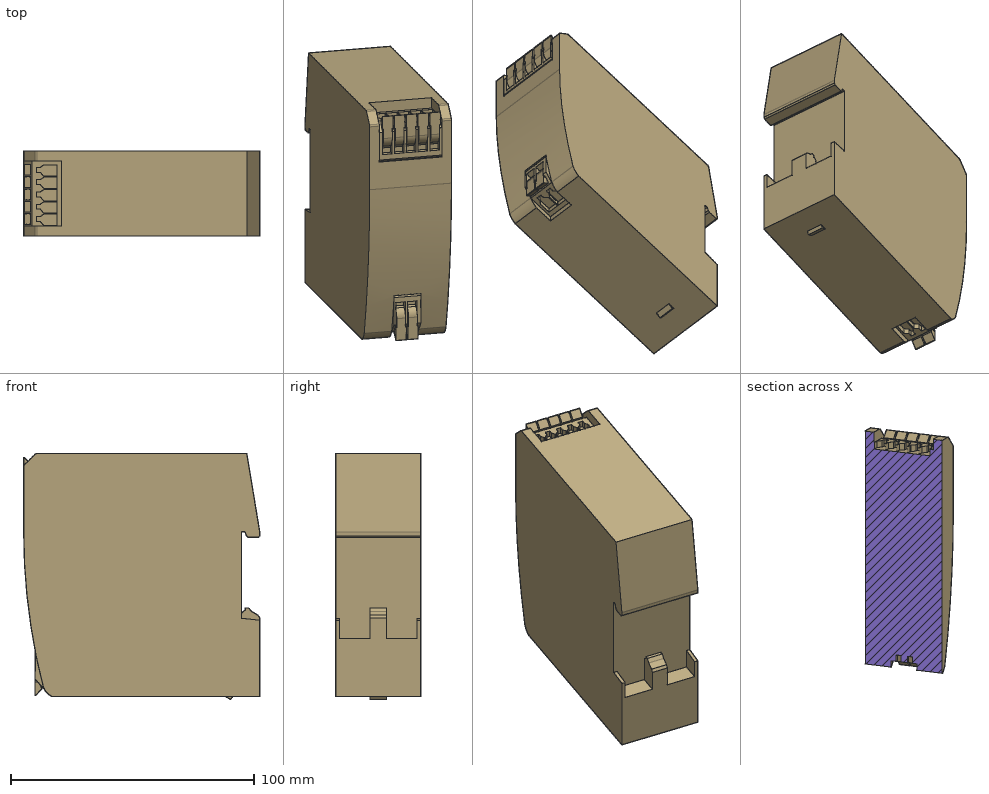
import cadquery as cq
import math

CASE_DEPTH = 97.2
CASE_WIDTH = 35.0
FOOT_DROP = 1.2
CASE_HEIGHT = 101.2 - FOOT_DROP

TOP_CHAMFER = 5.1
CHAMFER_EDGE_RADIUS = 1.1
FLAT_FRONT_BOTTOM = 67.5
FRONT_RADIUS = 252.0
BOTTOM_ROUND_HEIGHT = 3.5
BOTTOM_ROUND_RUN = 3.4
BOTTOM_ROUND_BULGE = 0.46
REAR_SLOPE_RUN = 5.4
REAR_SLOPE_BOTTOM = 67.6

RAIL_FACE_X = 89.7
HOOK_BOTTOM = 65.5
HOOK_CORNER = 0.6
NOTCH_TOP = 67.7
NOTCH_WIDTH = 1.3
RAIL_BOTTOM_INNER = 32.2
RAIL_BOTTOM_OUTER = 31.4

FOOT_WIDTH = 6.9
CHANNEL_SIDE_WALL = 1.5
CHANNEL_BOTTOM = 23.8
TOOTH_TOP = 36.4
TOOTH_HEEL_Z = 34.4
TOOTH_HEEL_TOP = 35.6
TOOTH_FLAT_START_X = 91.1
TOOTH_FLAT_END_X = 92.5
TOOTH_RAMP_TOP = (93.8, 35.0)
TOOTH_RAMP_BOTTOM = (96.3, 33.5)
TOOTH_REAR_Z = 32.4
TAB_FRONT_X = 83.0
TAB_TIP_X = 85.1
TAB_REAR_X = 86.0
TAB_EMBED = 1.0

PITCH = 5.1
END_MARGIN = 0.7
CONNECTOR_DEPTH = 15.7
CONNECTOR_LENGTH = 19.3
CONNECTOR_END_CHAMFER = 0.8
LEVER_PROUD = 0.1
BASE_TOP = -2.8
BASE_CHAMFER_RUN = 3.4
BASE_CHAMFER_DROP = 3.9

HEAD_WIDTH = 4.5
HEAD_LENGTH = 5.6
HEAD_TIP_THICKNESS = 0.3
HEAD_BARB = (2.8, -2.7)
HEAD_HEEL = (2.3, -4.5)
LEVER_WIDTH = 3.7
LEVER_SCOOP_TOP = -9.4
LEVER_SCOOP_RADIUS = 4.7
LEVER_SCOOP_ANGLE = 58.0
LEVER_BOTTOM = -14.2

WINDOW_WIDTH = 4.0
WINDOW_SHIFT = 0.2
WINDOW_DEPTH = 2.6
WINDOW_TOP = -6.0
WINDOW_BOTTOM = -16.3

SLOT_FRONT = 5.3
SLOT_TAPER_FRONT = 6.9
SLOT_TAPER_BACK = 8.3
SLOT_BACK = 13.7
SLOT_NECK_HALF = 1.0
SLOT_SIDE_LEFT = 2.0
SLOT_SIDE_RIGHT = -2.6
SLOT_DEPTH = 2.7

POCKET_OVERRUN = 5.1

UPPER_POLES = 5
UPPER_FRONT_X = 0.0
UPPER_TIP_Z = 98.4
UPPER_POLE_SHIFT = -0.4
LOWER_POLES = 2
LOWER_FRONT_X = 4.7
LOWER_TIP_Z = 0.4
LOWER_POLE_SHIFT = 0.2


def extrude_across(outline, width, y_center=0.0):
    """Extrude a closed XZ outline along Y, centred on y_center."""
    return outline.extrude(width / 2, both=True).translate((0, y_center, 0))


def box_between(x_range, y_range, z_range):
    """Box spanning the given ranges."""
    size = [high - low for low, high in (x_range, y_range, z_range)]
    return cq.Workplane("XY").box(*size, centered=False).translate((x_range[0], y_range[0], z_range[0]))


def front_curve_x(z):
    """X of the curved front face at a height below its tangent point."""
    drop = FLAT_FRONT_BOTTOM - z
    return FRONT_RADIUS - math.sqrt(FRONT_RADIUS**2 - drop**2)


def make_foot_channel():
    """Channel below the rail, open to the rear and above, leaving a thin wall on each side."""
    half_width = CASE_WIDTH / 2 - CHANNEL_SIDE_WALL
    return box_between(
        (RAIL_FACE_X, CASE_DEPTH),
        (-half_width, half_width),
        (CHANNEL_BOTTOM, RAIL_BOTTOM_INNER),
    )


def make_case():
    """Case body, without the connector pockets."""
    curve_mid_z = (FLAT_FRONT_BOTTOM + BOTTOM_ROUND_HEIGHT) / 2
    round_x = front_curve_x(BOTTOM_ROUND_HEIGHT)
    round_mid = (
        round_x + BOTTOM_ROUND_RUN / 2 - BOTTOM_ROUND_BULGE * math.sqrt(0.5),
        BOTTOM_ROUND_HEIGHT / 2 - BOTTOM_ROUND_BULGE * math.sqrt(0.5),
    )
    notch_back = RAIL_FACE_X + NOTCH_WIDTH
    outline = (
        cq.Workplane("XZ")
        .moveTo(round_x + BOTTOM_ROUND_RUN, 0)
        .threePointArc(round_mid, (round_x, BOTTOM_ROUND_HEIGHT))
        .threePointArc((front_curve_x(curve_mid_z), curve_mid_z), (0, FLAT_FRONT_BOTTOM))
        .lineTo(0, CASE_HEIGHT - TOP_CHAMFER)
        .lineTo(TOP_CHAMFER, CASE_HEIGHT)
        .lineTo(CASE_DEPTH - REAR_SLOPE_RUN, CASE_HEIGHT)
        .lineTo(CASE_DEPTH, REAR_SLOPE_BOTTOM)
        .lineTo(CASE_DEPTH, HOOK_BOTTOM + HOOK_CORNER)
        .lineTo(CASE_DEPTH - HOOK_CORNER, HOOK_BOTTOM)
        .lineTo(notch_back + 2 * HOOK_CORNER, HOOK_BOTTOM)
        .lineTo(notch_back + HOOK_CORNER, HOOK_BOTTOM + HOOK_CORNER)
        .lineTo(notch_back, NOTCH_TOP)
        .lineTo(RAIL_FACE_X, NOTCH_TOP)
        .lineTo(RAIL_FACE_X, RAIL_BOTTOM_INNER)
        .lineTo(CASE_DEPTH, RAIL_BOTTOM_OUTER)
        .lineTo(CASE_DEPTH, 0)
        .close()
    )
    case = extrude_across(outline, CASE_WIDTH)
    for x, z in ((0, CASE_HEIGHT - TOP_CHAMFER), (TOP_CHAMFER, CASE_HEIGHT)):
        case = case.edges(cq.NearestToPointSelector((x, 0, z))).fillet(CHAMFER_EDGE_RADIUS)
    return case.cut(make_foot_channel())


def make_foot():
    """Sliding foot: the rail tooth rising from the channel and the release tab under the case."""
    tooth = cq.Workplane("XZ").polyline([
        (RAIL_FACE_X, CHANNEL_BOTTOM),
        (RAIL_FACE_X, TOOTH_HEEL_Z),
        (TOOTH_FLAT_START_X, TOOTH_HEEL_TOP),
        (TOOTH_FLAT_START_X, TOOTH_TOP),
        (TOOTH_FLAT_END_X, TOOTH_TOP),
        TOOTH_RAMP_TOP,
        TOOTH_RAMP_BOTTOM,
        (CASE_DEPTH, TOOTH_REAR_Z),
        (CASE_DEPTH, CHANNEL_BOTTOM),
    ]).close()
    tab = cq.Workplane("XZ").polyline([
        (TAB_FRONT_X, 0),
        (TAB_TIP_X, -FOOT_DROP),
        (TAB_REAR_X, 0),
        (TAB_REAR_X, TAB_EMBED),
        (TAB_FRONT_X, TAB_EMBED),
    ]).close()
    return extrude_across(tooth, FOOT_WIDTH).union(extrude_across(tab, FOOT_WIDTH))


def connector_width(poles):
    """Overall width of a connector and of its pocket."""
    return poles * PITCH + 2 * END_MARGIN


def make_lever(y):
    """Lever with a wide wedge-shaped head, scooped away below to open the wire entry."""
    head = cq.Workplane("XZ").polyline([
        (0, 0),
        (HEAD_TIP_THICKNESS, 0),
        HEAD_BARB,
        HEAD_HEEL,
        (HEAD_HEEL[0], -HEAD_LENGTH),
        (0, -HEAD_LENGTH),
    ]).close()
    scoop_middle, scoop_end = [
        (
            LEVER_SCOOP_RADIUS * (1 - math.cos(math.radians(angle))),
            LEVER_SCOOP_TOP - LEVER_SCOOP_RADIUS * math.sin(math.radians(angle)),
        )
        for angle in (LEVER_SCOOP_ANGLE / 2, LEVER_SCOOP_ANGLE)
    ]
    shank = (
        cq.Workplane("XZ")
        .moveTo(0, -HEAD_LENGTH)
        .lineTo(0, LEVER_SCOOP_TOP)
        .threePointArc(scoop_middle, scoop_end)
        .lineTo(WINDOW_DEPTH, LEVER_BOTTOM)
        .lineTo(WINDOW_DEPTH, -HEAD_LENGTH)
        .close()
    )
    return extrude_across(head, HEAD_WIDTH, y).union(extrude_across(shank, LEVER_WIDTH, y))


def make_window(y):
    """Wire entry opening, which also leaves a slit beside the lever."""
    y_low = y + WINDOW_SHIFT - WINDOW_WIDTH / 2
    return box_between((0, WINDOW_DEPTH), (y_low, y_low + WINDOW_WIDTH), (WINDOW_BOTTOM, WINDOW_TOP))


def make_slot(y):
    """Arrow-shaped recess in the flat end face: a narrow neck widening into a rectangle."""
    return (
        cq.Workplane("XY", origin=(0, y, BASE_TOP - SLOT_DEPTH))
        .polyline([
            (SLOT_FRONT, SLOT_NECK_HALF),
            (SLOT_TAPER_FRONT, SLOT_NECK_HALF),
            (SLOT_TAPER_BACK, SLOT_SIDE_LEFT),
            (SLOT_BACK, SLOT_SIDE_LEFT),
            (SLOT_BACK, SLOT_SIDE_RIGHT),
            (SLOT_TAPER_BACK, SLOT_SIDE_RIGHT),
            (SLOT_TAPER_FRONT, -SLOT_NECK_HALF),
            (SLOT_FRONT, -SLOT_NECK_HALF),
        ])
        .close()
        .extrude(SLOT_DEPTH)
    )


def make_connector(poles, pole_shift):
    """Chamfered base block with a window, a recess and a lever for each pole."""
    base_outline = (
        cq.Workplane("XZ")
        .moveTo(LEVER_PROUD + BASE_CHAMFER_RUN, BASE_TOP)
        .lineTo(LEVER_PROUD, BASE_TOP - BASE_CHAMFER_DROP)
        .lineTo(LEVER_PROUD, CONNECTOR_END_CHAMFER - CONNECTOR_LENGTH)
        .lineTo(LEVER_PROUD + CONNECTOR_END_CHAMFER, -CONNECTOR_LENGTH)
        .lineTo(CONNECTOR_DEPTH, -CONNECTOR_LENGTH)
        .lineTo(CONNECTOR_DEPTH, BASE_TOP)
        .close()
    )
    connector = extrude_across(base_outline, connector_width(poles))
    for pole in range(poles):
        y = pole_shift + (pole - (poles - 1) / 2) * PITCH
        connector = connector.cut(make_window(y)).cut(make_slot(y)).union(make_lever(y))
    return connector


def make_pocket(poles):
    """Recess in the case, open at the front and past the lever tips."""
    half_width = connector_width(poles) / 2
    return box_between(
        (-CONNECTOR_DEPTH, CONNECTOR_DEPTH),
        (-half_width, half_width),
        (-CONNECTOR_LENGTH, POCKET_OVERRUN),
    )


def place_upper(body):
    """The upper connector has its lever tips pointing up."""
    return body.translate((UPPER_FRONT_X, 0, UPPER_TIP_Z))


def place_lower(body):
    """The lower connector is turned over, with its lever tips pointing down."""
    return body.mirror("XY").translate((LOWER_FRONT_X, 0, LOWER_TIP_Z))


result = (
    make_case()
    .cut(place_upper(make_pocket(UPPER_POLES)))
    .cut(place_lower(make_pocket(LOWER_POLES)))
    .union(place_upper(make_connector(UPPER_POLES, UPPER_POLE_SHIFT)))
    .union(place_lower(make_connector(LOWER_POLES, LOWER_POLE_SHIFT)))
    .union(make_foot())
)